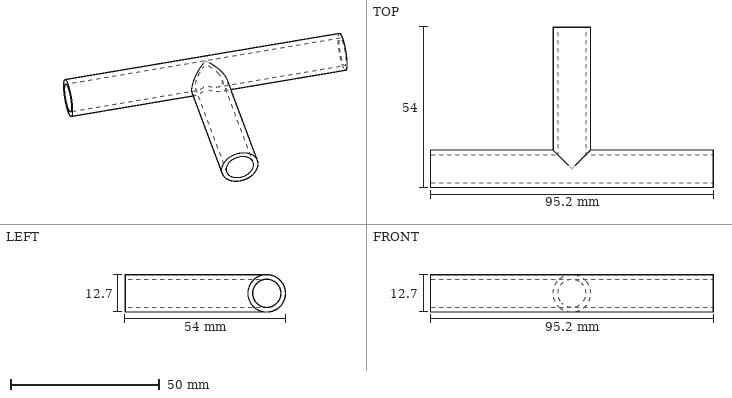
import cadquery as cq

run_length = 95.25
outer_diameter = 12.7
bore_diameter = 9.4
overall_depth = 54.0

branch_length = overall_depth - outer_diameter / 2


def tee_body(diameter):
    """Solid tee: a run along X, centred on the origin, and a branch along +Y."""
    radius = diameter / 2
    run = cq.Workplane("YZ").circle(radius).extrude(run_length / 2, both=True)
    branch = cq.Workplane("XZ").circle(radius).extrude(-branch_length)
    return run.union(branch)


result = tee_body(outer_diameter).cut(tee_body(bore_diameter))